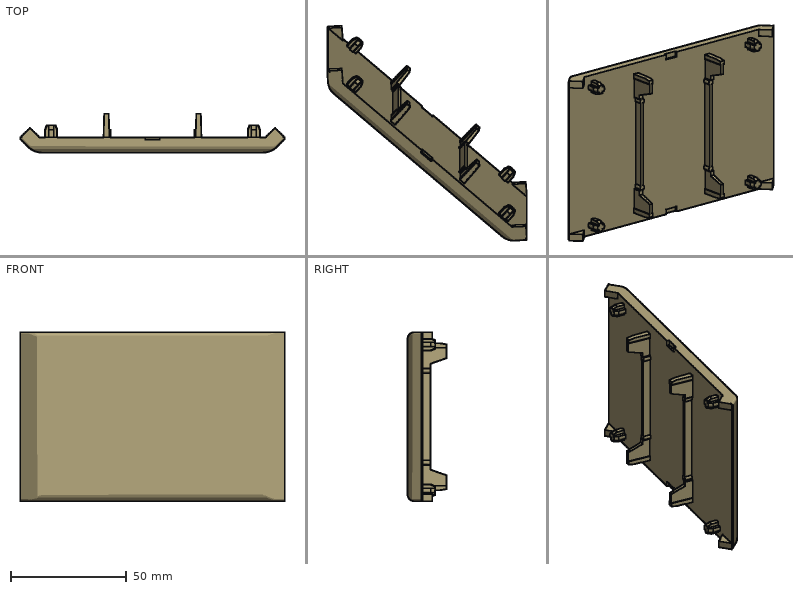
import cadquery as cq
import math

length = 115.0
height = 73.6
plate_depth = 6.7
half_length = length / 2
half_height = height / 2

rim = 0.7
end_slope = 3.3
long_edge_radius = 3.1
bevel_corner_radius = 1.0

tooth_height = 4.1
tooth_width = 8.5
tooth_thickness = 3.1

peg_x = 44.0
upper_peg_z = 31.4
lower_peg_z = -32.1
peg_diameter = 5.4
peg_tip_diameter = 3.9
peg_height = 5.4
peg_taper_start = 3.5
peg_arm = 2.1

fin_x = 20.0
fin_base_width = 2.6
fin_tip_width = 2.1
fin_height = 10.4
fin_bend = 7.6
web_inset = 0.3
fin_outer_z = 32.0
fin_tip_outer_z = 31.5
fin_head_z = 29.9
fin_tip_inner_z = 25.4
fin_shoulder_z = 23.0
fin_root_z = 21.0
rib_height = 3.5
rib_x = 19.3
rib_width = 1.4
post_radius = 1.2
post_z = fin_root_z - post_radius

notch_width = 6.1
notch_depth = 1.0
notch_reach = 2.3


def mirrored_x(body):
    """Return the body together with its copy on the other side in X."""
    return body.union(body.mirror("YZ"))


def mirrored_xz(body):
    """Return the body together with its copies in the other three quadrants of X and Z."""
    pair = mirrored_x(body)
    return pair.union(pair.mirror("XY"))


def block(x_size, y_size, z_size):
    """Box centred in X and Z that rises from the back face."""
    return cq.Workplane("XY").box(x_size, y_size, z_size, centered=(True, False, True))


def post(radius, rise):
    """Round post that rises from the back face."""
    return cq.Workplane("XZ").circle(radius).extrude(-rise)


def make_plate():
    bevel_angle = math.radians(45)
    bevel_end_x = half_length - end_slope
    bevel_end_y = -rim - end_slope
    end_radius = (plate_depth - rim - end_slope) / (1 - math.cos(bevel_angle))
    flat_x = bevel_end_x - end_radius * math.sin(bevel_angle)
    arc_x = flat_x + end_radius * math.sin(bevel_angle / 2)
    arc_y = -plate_depth + end_radius * (1 - math.cos(bevel_angle / 2))

    plan = (
        cq.Workplane("XY")
        .workplane(offset=-half_height)
        .moveTo(-half_length, 0)
        .lineTo(-half_length, -rim)
        .lineTo(-bevel_end_x, bevel_end_y)
        .threePointArc((-arc_x, arc_y), (-flat_x, -plate_depth))
        .lineTo(flat_x, -plate_depth)
        .threePointArc((arc_x, arc_y), (bevel_end_x, bevel_end_y))
        .lineTo(half_length, -rim)
        .lineTo(half_length, 0)
        .close()
        .extrude(height)
    )
    section = (
        block(length, plate_depth, height)
        .translate((0, -plate_depth, 0))
        .edges("|X and <Y")
        .fillet(long_edge_radius)
    )
    plate = plan.intersect(section)

    bevel_middle_x = half_length - end_slope / 2
    bevel_middle_y = -rim - end_slope / 2
    for x in (-bevel_middle_x, bevel_middle_x):
        for z in (-half_height, half_height):
            corner = cq.selectors.NearestToPointSelector((x, bevel_middle_y, z))
            plate = plate.edges(corner).fillet(bevel_corner_radius)
    return plate


def make_tooth():
    return (
        cq.Workplane("XY")
        .workplane(offset=half_height - tooth_thickness)
        .moveTo(-half_length, 0)
        .lineTo(-half_length + tooth_width / 2, tooth_height)
        .lineTo(-half_length + tooth_width, 0)
        .close()
        .extrude(tooth_thickness)
    )


def make_peg(z):
    cross = block(peg_diameter, peg_height, peg_arm)
    cross = cross.union(block(peg_arm, peg_height, peg_diameter))
    envelope = (
        cq.Workplane("XY")
        .lineTo(peg_diameter / 2, 0)
        .lineTo(peg_diameter / 2, peg_taper_start)
        .lineTo(peg_tip_diameter / 2, peg_height)
        .lineTo(0, peg_height)
        .close()
        .revolve(360, (0, 0, 0), (0, 1, 0))
    )
    return cross.intersect(envelope).translate((-peg_x, 0, z))


def drafted_bar(base_width, tip_width, start_z):
    """Bar along Z whose two faces draft evenly from the back face to the fin tip."""
    return (
        cq.Workplane("XY")
        .workplane(offset=start_z)
        .moveTo(-base_width / 2, 0)
        .lineTo(-tip_width / 2, fin_height)
        .lineTo(tip_width / 2, fin_height)
        .lineTo(base_width / 2, 0)
        .close()
        .extrude(half_height - start_z)
    )


def make_fin():
    profile = (
        cq.Workplane("YZ")
        .moveTo(0, fin_root_z)
        .lineTo(rib_height, fin_root_z)
        .lineTo(rib_height, fin_shoulder_z)
        .lineTo(fin_height, fin_tip_inner_z)
        .lineTo(fin_height, fin_tip_outer_z)
        .lineTo(fin_bend, fin_outer_z)
        .lineTo(0, fin_outer_z)
        .close()
        .extrude(fin_base_width / 2, both=True)
    )
    head = drafted_bar(fin_base_width, fin_tip_width, fin_head_z)
    web = drafted_bar(fin_base_width - 2 * web_inset, fin_tip_width - 2 * web_inset, 0)
    return profile.intersect(head.union(web)).translate((-fin_x, 0, 0))


def make_rib():
    rib = block(rib_width, rib_height, 2 * fin_root_z)
    for z in (-post_z, post_z):
        rib = rib.union(post(post_radius, rib_height).translate((0, 0, z)))
    return rib.translate((-rib_x, 0, 0))


result = make_plate()
for feature in (make_tooth(), make_fin()):
    result = result.union(mirrored_xz(feature))
for feature in (make_peg(upper_peg_z), make_peg(lower_peg_z), make_rib()):
    result = result.union(mirrored_x(feature))

notch = block(notch_width, notch_depth, notch_reach)
for side in (-1, 1):
    notch_z = side * (half_height - notch_reach / 2)
    result = result.cut(notch.translate((0, -notch_depth, notch_z)))